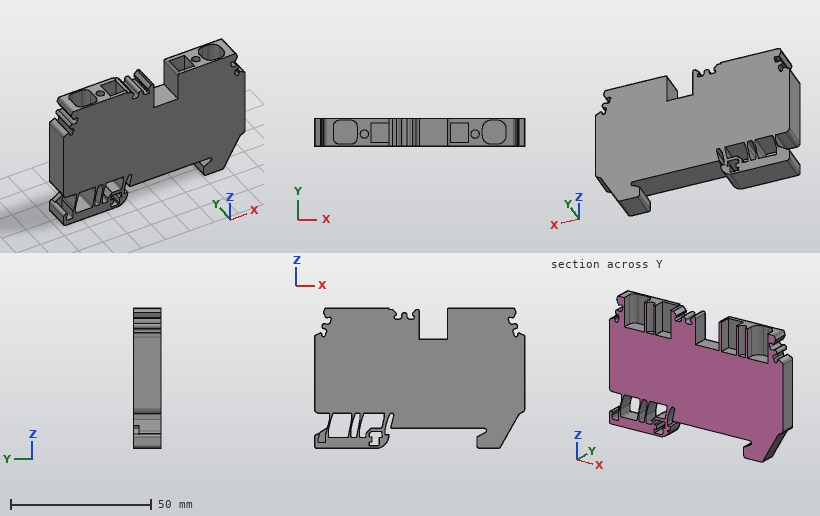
import cadquery as cq
import math


length = 75.0
thickness = 10.0
height = 50.0

mirror_x = length / 2

cut_margin = 0.75

shoulder_z = 40.2
shoulder_radius = 0.75
top_corner_x = 3.75
top_corner_radius = 0.5
flank_corner_radius = 1.3
floor_corner_radius = 1.5

body_floor_z = 12.5
rail_seat_z = 7.1
foot_left_x = 57.9
foot_right_x = 66.0
flank_top_x = 73.0
flank_step_z = 13.35
foot_corner_radius = 0.9

notch_left_x = 37.35
notch_right_x = 47.3
notch_floor_z = 38.9
notch_rim_radius = 0.5
ledge_tip_radius = 0.7
ledge_start_x = 26.55
ledge_z = height - 0.45

latch_floor_z = 3.9
spring_knee_z = 6.75
spring_bend_z = 10.35
spring_bow = 0.6
spring_bow_z = 9.5
spring_lean = 1.6
spring_back_lean = 1.3
window_radius = 0.4
wide_window = (5.0, 11.9)
narrow_window = (13.0, 14.9)
latch_tip_x = 26.55
latch_tip_z = 4.95
release_slit_x = 25.2

web_thickness = 2.0
slot_left_x = 1.3
slot_right_x = 4.0
slot_floor_z = 2.2
slot_corner_radius = 0.4
lip_radius = 1.05
lip_axis_z = 4.05
slot_flare = (4.35, 6.2)
spring_bend = (5.3, spring_bend_z)
web_bend = (4.35, 7.3)
web_top = (4.8, 8.2)

wire_entry_x = 10.95
wire_entry_size = 8.55
left_entry_radius = 2.25
right_entry_radius = 3.15
wire_entry_y = 5.0
test_hole_x = 17.8
test_hole_y = 4.35
test_hole_diameter = 3.0
tool_entry_length = 6.4
tool_entry_width = 7.0
tool_entry_x = ledge_start_x - tool_entry_length / 2
tool_entry_y = 4.8
entry_depth = 11.25


def profile(start):
    """Begin an outline in the XZ plane."""
    return cq.Workplane("XZ").moveTo(*start)


def through(outline, depth=thickness):
    """Close an outline and extrude it from the near face towards +Y."""
    return outline.close().extrude(-depth)


def round_edge(part, x, z, radius):
    """Fillet the edge that runs through the thickness at (x, z)."""
    middle = (x, thickness / 2, z)
    return part.edges(cq.selectors.NearestToPointSelector(middle)).fillet(radius)


def mirrored(shape):
    """Copy a shape to the other end of the block."""
    return shape.mirror("YZ", (mirror_x, 0, 0))


def spring_edge(outline, base_x):
    """Run down the curved right side of a spring leg, from the body to its knee."""
    return outline.threePointArc((base_x + spring_bow, spring_bow_z), (base_x, spring_knee_z))


def lip_point(angle):
    """Point on the rounded latch lip, at an angle in degrees from +X."""
    turn = math.radians(angle)
    return (lip_radius * (1 + math.cos(turn)), lip_axis_z + lip_radius * math.sin(turn))


def plate():
    """Whole side profile, with the top corners still square and the latch windows solid."""
    outline = (
        profile((0, height))
        .lineTo(0, body_floor_z)
        .lineTo(spring_bend[0], body_floor_z)
        .lineTo(*spring_bend)
        .lineTo(*slot_flare)
        .lineTo(slot_right_x, 5.25)
        .lineTo(slot_right_x, slot_floor_z)
        .lineTo(slot_left_x, slot_floor_z)
        .lineTo(slot_left_x, 3.6)
        .lineTo(*lip_point(50))
        .threePointArc(lip_point(110), lip_point(180))
        .lineTo(0, 0)
        .lineTo(22.7, 0)
        .threePointArc((25.35, 1.65), (latch_tip_x, latch_tip_z))
        .lineTo(release_slit_x, latch_tip_z)
        .lineTo(release_slit_x, spring_knee_z)
        .threePointArc((release_slit_x + spring_bow, spring_bow_z), (26.8, 12.0))
        .threePointArc((27.6, body_floor_z), (28.2, 11.85))
        .lineTo(27.15, 7.4)
        .lineTo(27.4, rail_seat_z)
        .lineTo(60.7, rail_seat_z)
        .threePointArc((61.3, 6.5), (60.9, 5.7))
        .lineTo(foot_left_x, 4.1)
        .lineTo(foot_left_x, 0)
        .lineTo(foot_right_x, 0)
        .lineTo(flank_top_x, 12.3)
        .lineTo(length, flank_step_z)
        .lineTo(length, height)
        .lineTo(notch_right_x, height)
        .lineTo(notch_right_x, notch_floor_z)
        .lineTo(notch_left_x, notch_floor_z)
        .lineTo(notch_left_x, ledge_z)
        .lineTo(ledge_start_x, ledge_z)
        .lineTo(ledge_start_x, height)
    )
    return through(outline)


def end_groove():
    """Cutter for the left top corner: slanted marker groove with a rib between two hooks."""
    outline = (
        profile((-cut_margin, shoulder_z))
        .lineTo(0, shoulder_z)
        .lineTo(2.2, 41.25)
        .lineTo(2.55, 40.95)
        .lineTo(2.6, 40.4)
        .threePointArc((3.3, 39.8), (3.75, 40.2))
        .lineTo(4.05, 41.2)
        .threePointArc((4.3, 41.85), (3.75, 42.5))
        .lineTo(3.0, 42.75)
        .threePointArc((2.7, 43.9), (3.6, 44.55))
        .lineTo(4.5, 44.3)
        .threePointArc((5.2, 44.5), (5.6, 45.15))
        .lineTo(5.9, 46.35)
        .lineTo(5.5, 46.7)
        .lineTo(4.3, 46.5)
        .lineTo(4.0, 46.65)
        .lineTo(3.15, 48.45)
        .lineTo(top_corner_x, height)
        .lineTo(-cut_margin, height)
    )
    return through(outline)


def top_groove():
    """Cutter for the top marker groove, symmetric about its central rib."""
    centre = 32.0
    rib_radius = 1.0
    rib_axis_z = 47.5
    floor_z = 46.1
    slant = math.sqrt(0.5) * rib_radius
    right_half = (
        profile((centre, ledge_z))
        .lineTo(centre, rib_axis_z + rib_radius)
        .threePointArc((centre + slant, rib_axis_z + slant), (centre + rib_radius, rib_axis_z))
        .lineTo(centre + rib_radius, floor_z + rib_radius)
        .tangentArcPoint((centre + 2 * rib_radius, floor_z), relative=False)
        .lineTo(centre + 3.15, floor_z)
        .threePointArc((centre + 3.5, 46.9), (centre + 2.85, 47.5))
        .lineTo(centre + 2.85, 48.15)
        .lineTo(centre + 4.2, ledge_z)
    )
    half_cutter = through(right_half)
    return half_cutter.union(half_cutter.mirror("YZ", (centre, 0, 0)))


def spring_window(left_base_x, right_base_x):
    """Opening between two leaning spring legs."""
    right_top_x = right_base_x + spring_back_lean
    outline = (
        profile((left_base_x, latch_floor_z))
        .lineTo(right_base_x, latch_floor_z)
        .lineTo(right_top_x, spring_bend_z)
        .lineTo(right_top_x, body_floor_z)
        .lineTo(left_base_x + spring_lean, body_floor_z)
    )
    return through(spring_edge(outline, left_base_x)).edges("|Y").fillet(window_radius)


def ledge_window():
    """Last opening of the latch, stepped over the catch cavity."""
    left_base_x = 16.05
    right_base_x = 18.3
    ledge_end_x = 24.0
    window_ledge_z = 7.3
    outline = (
        profile((left_base_x, latch_floor_z))
        .lineTo(right_base_x, latch_floor_z)
        .lineTo(right_base_x, 5.4)
        .lineTo(20.1, window_ledge_z)
        .lineTo(ledge_end_x, window_ledge_z)
        .lineTo(24.8, 11.25)
        .lineTo(24.8, body_floor_z)
        .lineTo(left_base_x + spring_lean, body_floor_z)
    )
    window = through(spring_edge(outline, left_base_x))
    window = round_edge(window, left_base_x, latch_floor_z, window_radius)
    window = round_edge(window, right_base_x, latch_floor_z, window_radius)
    return round_edge(window, ledge_end_x, window_ledge_z, window_radius)


def catch_cavity():
    """Stepped cavity below the last window."""
    outline = (
        profile((19.6, 1.0))
        .lineTo(22.65, 1.0)
        .lineTo(23.0, 1.35)
        .lineTo(23.0, 3.9)
        .lineTo(24.1, 3.9)
        .lineTo(23.9, 6.0)
        .lineTo(20.25, 6.0)
        .lineTo(19.6, 5.4)
        .lineTo(19.6, 4.1)
        .lineTo(20.55, 4.1)
        .lineTo(20.55, 2.6)
        .lineTo(20.2, 2.25)
        .lineTo(19.6, 2.25)
    )
    return through(outline)


def slot_web():
    """Thin wall closing the far end of the screwdriver slot, sloping up to the spring leg."""
    outline = (
        profile((slot_left_x, slot_floor_z))
        .lineTo(slot_right_x, slot_floor_z)
        .lineTo(*web_top)
        .lineTo(*web_bend)
        .lineTo(*lip_point(90))
    )
    return through(outline, web_thickness).translate((0, thickness - web_thickness, 0))


def top_pocket(x, y):
    """Workplane on the top face, moved to a pocket centre."""
    return cq.Workplane("XY", origin=(x, y, height))


def wire_entry(corner_radius):
    """Rounded square pocket for a conductor at the left end."""
    return (
        top_pocket(wire_entry_x, wire_entry_y)
        .rect(wire_entry_size, wire_entry_size)
        .extrude(-entry_depth)
        .edges("|Z")
        .fillet(corner_radius)
    )


def tool_entries():
    """Round test hole and rectangular tool pocket at the left end."""
    hole = top_pocket(test_hole_x, test_hole_y).circle(test_hole_diameter / 2).extrude(-entry_depth)
    pocket = (
        top_pocket(tool_entry_x, tool_entry_y)
        .rect(tool_entry_length, tool_entry_width)
        .extrude(-entry_depth)
    )
    return hole.union(pocket)


body = plate().union(slot_web())
cutters = [
    end_groove(),
    mirrored(end_groove()),
    top_groove(),
    spring_window(*wide_window),
    spring_window(*narrow_window),
    ledge_window(),
    catch_cavity(),
    wire_entry(left_entry_radius),
    mirrored(wire_entry(right_entry_radius)),
    tool_entries(),
    mirrored(tool_entries()),
]
for cutter in cutters:
    body = body.cut(cutter)

rounded_edges = [
    (notch_right_x, height, notch_rim_radius),
    (notch_left_x, ledge_z, ledge_tip_radius),
    (foot_left_x, 0, foot_corner_radius),
    (foot_right_x, 0, foot_corner_radius),
    (0, 0, foot_corner_radius),
    (slot_left_x, slot_floor_z, slot_corner_radius),
    (slot_right_x, slot_floor_z, slot_corner_radius),
    (0, body_floor_z, floor_corner_radius),
    (spring_bend[0], body_floor_z, window_radius),
    (length, flank_step_z, flank_corner_radius),
    (0, shoulder_z, shoulder_radius),
    (length, shoulder_z, shoulder_radius),
    (top_corner_x, height, top_corner_radius),
    (length - top_corner_x, height, top_corner_radius),
]
for x, z, radius in rounded_edges:
    body = round_edge(body, x, z, radius)

result = body